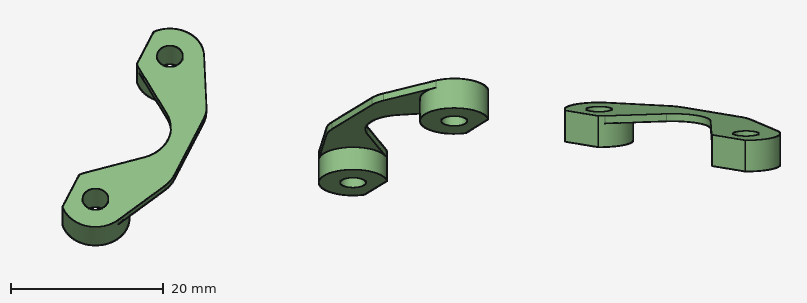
import cadquery as cq
import math

length = 34.02
height = 4.2
plate_thickness = 1.02
boss_radius = 4.5
hole_diameter = 3.4
flat_x = -3.5
back_x = 8.0
inner_radius = 5.0
corner_radius = 5.0
back_corner_y = 6.02

boss_y = length / 2 - boss_radius


def polar(radius, angle, center_y=0.0):
    """Point on a circle centred on the Y axis."""
    return (radius * math.cos(angle), center_y + radius * math.sin(angle))


inner_angle = math.asin((inner_radius + boss_radius) / boss_y)
inner_tangent = polar(inner_radius, inner_angle)
boss_inner_tangent = polar(-boss_radius, inner_angle, boss_y)

corner_dy = boss_y - back_corner_y
corner_distance = math.hypot(back_x, corner_dy)
outer_angle = math.acos(boss_radius / corner_distance) - math.atan2(corner_dy, back_x)
boss_outer_tangent = polar(boss_radius, outer_angle, boss_y)

boss_center = (0, boss_y)


def mirrored(point):
    """Reflect a point in the XZ plane."""
    return (point[0], -point[1])


def make_plate():
    """Thin web at the top that joins the two bosses."""
    plate = (
        cq.Workplane("XY", origin=(0, 0, height - plate_thickness))
        .moveTo(*inner_tangent)
        .lineTo(*boss_inner_tangent)
        .lineTo(*boss_center)
        .lineTo(*boss_outer_tangent)
        .lineTo(back_x, back_corner_y)
        .lineTo(back_x, -back_corner_y)
        .lineTo(*mirrored(boss_outer_tangent))
        .lineTo(*mirrored(boss_center))
        .lineTo(*mirrored(boss_inner_tangent))
        .lineTo(*mirrored(inner_tangent))
        .threePointArc((inner_radius, 0), inner_tangent)
        .close()
        .extrude(plate_thickness)
    )
    return plate.faces(">X").edges("|Z").fillet(corner_radius)


def make_cylinders(radius):
    """Full-height cylinders on both boss axes."""
    centers = [boss_center, mirrored(boss_center)]
    return cq.Workplane("XY").pushPoints(centers).circle(radius).extrude(height)


def make_bosses():
    """Round bosses cut flat on the -X side."""
    kept_width = boss_radius - flat_x
    kept_block = (
        cq.Workplane("XY", origin=(flat_x, 0, 0))
        .box(kept_width, length, height, centered=(False, True, False))
    )
    return make_cylinders(boss_radius).intersect(kept_block)


holes = make_cylinders(hole_diameter / 2)
result = make_bosses().union(make_plate()).cut(holes)